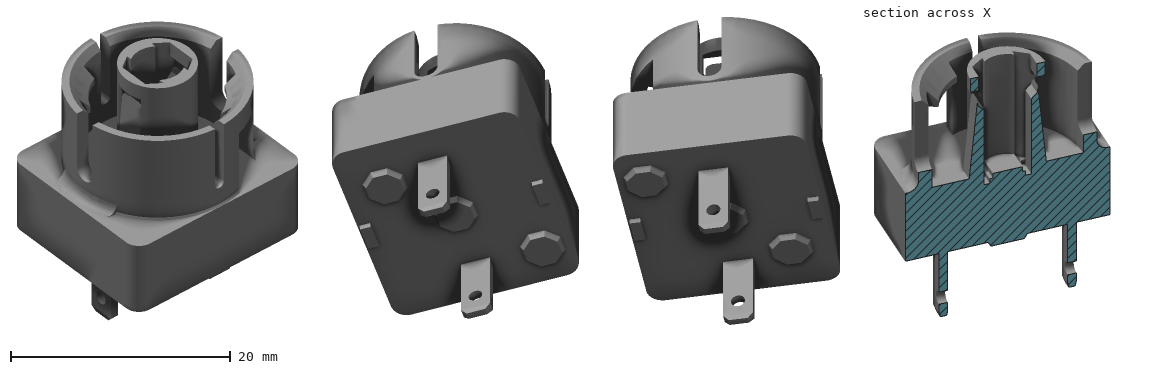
import cadquery as cq
import math

base_x = 17.9
base_y = 20.0
base_height = 7.65
base_corner_radius = 1.5

ring_outer_radius = 17.5 / 2
ring_inner_radius = 7.37
ring_top = 16.75
ring_lead_in = 0.65
lip_width = 0.18
slot_bottom = 9.65
wide_slot = 2.23
narrow_slot = 1.1

lug_inner_radius = 6.3
lug_start_angle = 205.5
lug_sweep = 39.0
window_top = 14.35
window_near_y = 2.7
window_far_y = 6.72

flare_radius = 1.0
flare_half_width = 3.63
flare_corner_radius = 0.9

tube_radius = 7.37 / 2
tube_top = 18.85
bore_radius = 2.47
pocket_inner_y = 1.45
pocket_outer_y = 2.83
pocket_inner_half_width = 2.57
pocket_outer_half_width = 1.6
pocket_depth = 0.52
tube_window_top = 17.28
well_inner_y = 1.76
well_half_width = 1.6
well_corner_radius = 0.36
well_depth = 1.05

contact_half_width = 1.4
contact_top = 16.35
contact_inner_y = 2.3
contact_foot_outer_y = 3.8
contact_tip_y = 2.95
contact_bevel_top_y = 2.85
contact_bevel_top = 15.57
contact_corner_radius = 0.7

terminal_length = 25.95 - tube_top
terminal_width = 2.75
terminal_thickness = 0.88
terminal_y = 6.28
terminal_hole_diameter = 1.3
terminal_hole_z = -4.98
terminal_tip_height = 0.52
terminal_tip_width = 1.76
terminal_tip_thickness = 0.65

pad_positions = [(-6.3, -6.3), (0, 0), (5.05, 5.05)]
pad_height = 0.5
pad_root_width = 3.87
pad_tip_width = 3.25
pad_sides = 8
foot_length = 1.0
foot_root_width = 2.75
foot_tip_width = 2.4
foot_height = 0.35


def box_between(x_range, y_range, z_range):
    """Axis-aligned box given by its lower and upper limits on each axis."""
    sizes = [high - low for low, high in (x_range, y_range, z_range)]
    corner = (x_range[0], y_range[0], z_range[0])
    return cq.Workplane("XY").box(*sizes, centered=False).translate(corner)


def disc(radius, bottom, top):
    return cq.Workplane("XY").workplane(offset=bottom).circle(radius).extrude(top - bottom)


def half_turn(shape):
    return shape.rotate((0, 0, 0), (0, 0, 1), 180)


def both_sides(shape):
    """The shape together with its copy turned half a turn about Z."""
    return shape.union(half_turn(shape))


def make_base():
    block = cq.Workplane("XY").box(base_x, base_y, base_height, centered=(True, True, False))
    return block.edges("|Z").fillet(base_corner_radius)


def make_lug_sector():
    """Sector of the ring's inner space that holds one lug, open upwards."""
    size = (ring_inner_radius, ring_top - window_top)
    sector = cq.Workplane("XZ", origin=(0, 0, window_top)).rect(*size, centered=False)
    sector = sector.revolve(lug_sweep, (0, 0), (0, 1))
    return sector.rotate((0, 0, 0), (0, 0, 1), lug_start_angle)


def make_ring_wall():
    """Ring wall with a small flared lip at the bottom, and one lead-in cone over wall and lugs."""
    lead_in_radius = ring_inner_radius + ring_lead_in
    profile = [
        (lug_inner_radius, base_height),
        (ring_outer_radius + lip_width, base_height),
        (ring_outer_radius, base_height + lip_width),
        (ring_outer_radius, ring_top),
        (lead_in_radius, ring_top),
        (lug_inner_radius, ring_top - (lead_in_radius - lug_inner_radius)),
    ]
    wall = cq.Workplane("XZ").polyline(profile).close().revolve(360, (0, 0), (0, 1))
    inner_space = disc(ring_inner_radius, base_height, ring_top)
    return wall.cut(inner_space.cut(both_sides(make_lug_sector())))


def make_flare():
    """Concave fillet between ring and block on the -Y side, with rounded ends."""
    outer = ring_outer_radius + flare_radius
    root = ring_inner_radius
    top = base_height + flare_radius
    sag = flare_radius * math.sqrt(0.5)
    solid = (
        cq.Workplane("XZ")
        .moveTo(root, base_height)
        .lineTo(outer, base_height)
        .threePointArc((outer - sag, top - sag), (ring_outer_radius, top))
        .lineTo(root, top)
        .close()
        .revolve(360, (0, 0), (0, 1))
    )
    plan = disc(outer, base_height, top).intersect(
        box_between((-flare_half_width, flare_half_width), (-outer, 0), (base_height, top))
    )
    plan = plan.edges("|Z and (not >Y)").fillet(flare_corner_radius)
    return solid.intersect(plan).cut(disc(ring_inner_radius, base_height, top))


def slot_cutter(width):
    """Round-bottomed slot running along Y through both sides of the ring."""
    radius = width / 2
    length = 2 * base_y
    upright = box_between((-radius, radius), (-length / 2, length / 2), (slot_bottom + radius, ring_top))
    floor = (
        cq.Workplane("XZ", origin=(0, length / 2, slot_bottom + radius))
        .circle(radius)
        .extrude(length)
    )
    return upright.union(floor)


def make_ring():
    ring = make_ring_wall().union(both_sides(make_flare()))
    window = box_between((-base_x, 0), (-window_far_y, -window_near_y), (base_height, window_top))
    ring = ring.cut(both_sides(window))
    narrow = slot_cutter(narrow_slot).rotate((0, 0, 0), (0, 0, 1), 90)
    return ring.cut(slot_cutter(wide_slot)).cut(narrow)


def bore_pocket():
    """Tapered side pocket of the bore on the -Y side."""
    outline = [
        (-pocket_inner_half_width, -pocket_inner_y),
        (pocket_inner_half_width, -pocket_inner_y),
        (pocket_outer_half_width, -pocket_outer_y),
        (-pocket_outer_half_width, -pocket_outer_y),
    ]
    floor = base_height - pocket_depth
    return cq.Workplane("XY").workplane(offset=floor).polyline(outline).close().extrude(tube_top - floor)


def contact_well():
    """Round-cornered well in the floor of a bore pocket on the -Y side."""
    well = box_between(
        (-well_half_width, well_half_width),
        (-pocket_outer_y, -well_inner_y),
        (base_height - well_depth, base_height),
    )
    return well.edges("|Z and >Y").fillet(well_corner_radius)


def make_contact():
    """Wedge on the -Y side, stepping back over a bevel to a sharp tip with rounded corners."""
    floor = base_height - well_depth
    profile = [
        (-contact_inner_y, floor),
        (-contact_foot_outer_y, floor),
        (-contact_foot_outer_y, base_height),
        (-contact_tip_y, contact_top),
        (-contact_bevel_top_y, contact_bevel_top),
        (-contact_inner_y, contact_bevel_top - (contact_bevel_top_y - contact_inner_y)),
    ]
    wedge = cq.Workplane("YZ").polyline(profile).close().extrude(contact_half_width, both=True)
    rounded = box_between(
        (-contact_half_width, contact_half_width), (-tube_radius * 2, 0), (floor, contact_top)
    )
    rounded = rounded.edges("|Y and >Z").fillet(contact_corner_radius)
    return wedge.intersect(rounded)


def add_tube(body):
    tube = disc(tube_radius, base_height, tube_top)
    tube_window = box_between(
        (-pocket_outer_half_width, pocket_outer_half_width),
        (-tube_radius, -pocket_inner_y),
        (base_height, tube_window_top),
    )
    bore = disc(bore_radius, base_height, tube_top).intersect(
        box_between((-bore_radius, bore_radius), (-pocket_inner_y, pocket_inner_y), (base_height, tube_top))
    )
    body = body.union(tube).cut(bore)
    for cutter in (bore_pocket(), tube_window, contact_well()):
        body = body.cut(both_sides(cutter))
    return body.union(both_sides(make_contact()))


def make_terminal():
    """Flat blade with a tapered tip and a cross hole, on the -Y side."""
    blade_bottom = terminal_tip_height - terminal_length
    blade = (
        cq.Workplane("XY", origin=(0, -terminal_y, 0))
        .rect(terminal_width, terminal_thickness)
        .extrude(blade_bottom)
    )
    tip = (
        cq.Workplane("XY", origin=(0, -terminal_y, blade_bottom))
        .rect(terminal_width, terminal_thickness)
        .workplane(offset=-terminal_tip_height)
        .rect(terminal_tip_width, terminal_tip_thickness)
        .loft()
    )
    hole = (
        cq.Workplane("XZ", origin=(0, 0, terminal_hole_z))
        .circle(terminal_hole_diameter / 2)
        .extrude(base_y)
    )
    return blade.union(tip).cut(hole)


def make_pad(position):
    """Tapered octagonal pad with flats facing along X and Y."""
    corner_ratio = math.cos(math.pi / pad_sides)
    pad = (
        cq.Workplane("XY")
        .polygon(pad_sides, pad_root_width / corner_ratio)
        .workplane(offset=-pad_height)
        .polygon(pad_sides, pad_tip_width / corner_ratio)
        .loft()
    )
    return pad.rotate((0, 0, 0), (0, 0, 1), 180 / pad_sides).translate((*position, 0))


def make_foot():
    """Low foot under the -X edge, with sloping ends."""
    foot_center_x = foot_length / 2 - ring_outer_radius
    return (
        cq.Workplane("XY", origin=(foot_center_x, 0, 0))
        .rect(foot_length, foot_root_width)
        .workplane(offset=-foot_height)
        .rect(foot_length, foot_tip_width)
        .loft()
    )


result = add_tube(make_base().union(make_ring()))
result = result.union(both_sides(make_terminal())).union(both_sides(make_foot()))
for pad_position in pad_positions:
    result = result.union(make_pad(pad_position))